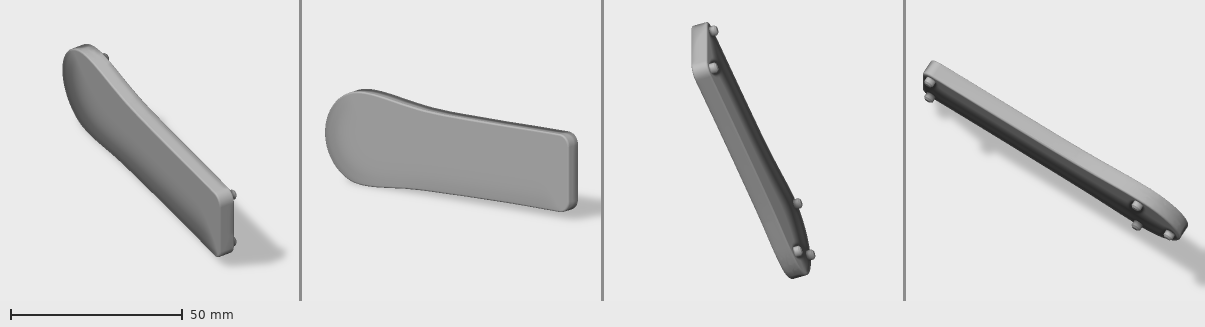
import cadquery as cq
import math

length = 88.5
head_width = 28.1
tail_top = 11.4
tail_bottom = 11.95
tail_corner_radius = 3.4
upper_slope = 6.3
lower_slope = 5.3
head_point_count = 9

upper_edge_points = [(49.55, 11.3), (31.85, 11.3), (23.0, 11.6), (12.4, 12.7)]
lower_edge_points = [(14.2, -12.9), (27.7, -12.3), (49.55, -11.9)]

cover_thickness = 4.0
back_thickness = 1.0
rim_radius = 0.495

pin_diameter = 3.0
pin_length = 2.0
pin_chamfer = 0.5
pin_margin = 3.1

head_radius = head_width / 2
tail_end = length - head_radius


def head_points():
    """Points around the head circle, from its upper to its lower tangent point."""
    first_angle = 90 - upper_slope
    last_angle = 270 + lower_slope
    step = (last_angle - first_angle) / (head_point_count - 1)
    angles = [math.radians(first_angle + i * step) for i in range(head_point_count)]
    return [(head_radius * math.cos(a), head_radius * math.sin(a)) for a in angles]


def paddle(thickness):
    """Plate with its +Y face on the parting plane, outlined by one smooth curve and a straight tail end."""
    plate = (
        cq.Workplane("XZ")
        .moveTo(tail_end, tail_top)
        .spline(
            [*upper_edge_points, *head_points(), *lower_edge_points, (tail_end, -tail_bottom)],
            includeCurrent=True,
        )
        .close()
        .extrude(thickness)
    )
    return plate.edges("|Y").fillet(tail_corner_radius)


def make_cover():
    """Front cover with a rounded front rim."""
    return paddle(cover_thickness).faces("<Y").edges().fillet(rim_radius)


def make_pin(x, z):
    """Locating pin with a chamfered tip, standing on the back of the back plate."""
    return (
        cq.Workplane("XZ", origin=(x, back_thickness, z))
        .circle(pin_diameter / 2)
        .extrude(-pin_length)
        .faces(">Y")
        .chamfer(pin_chamfer)
    )


def make_back_plate():
    """Back plate with a rounded back rim, three pins on the head and two at the tail corners."""
    plate = paddle(back_thickness).translate((0, back_thickness, 0))
    plate = plate.faces(">Y").edges().fillet(rim_radius)
    head_pin_radius = head_radius - pin_margin
    tail_pin_x = tail_end - pin_margin
    pin_centres = [
        (-head_pin_radius, 0),
        (0, head_pin_radius),
        (0, -head_pin_radius),
        (tail_pin_x, tail_top - pin_margin),
        (tail_pin_x, pin_margin - tail_bottom),
    ]
    for x, z in pin_centres:
        plate = plate.union(make_pin(x, z))
    return plate


cover = make_cover()
back_plate = make_back_plate()

result = cq.Compound.makeCompound([cover.val(), back_plate.val()])